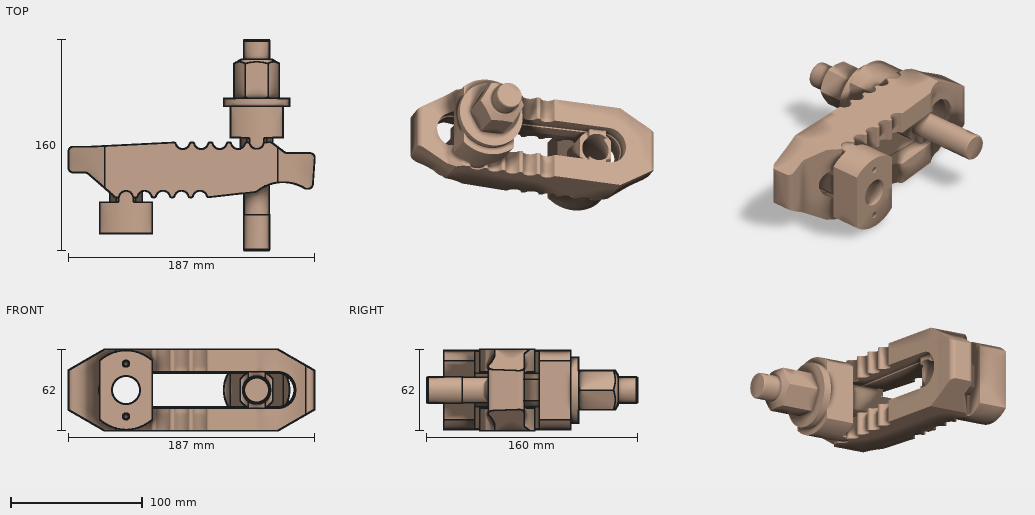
import cadquery as cq
import math

BAR_LENGTH = 187.0
BAR_HEIGHT = 62.0
TOOTH_SPAN = 41.9
CORNER_RADIUS = 4.0

HEEL_BOTTOM = 18.9
HEEL_TOP = 38.7
HEEL_BOTTOM_END = 14.0
HEEL_TOP_END = 17.8
HEEL_SLOPE_END = 35.9

NOSE_TOP = 33.8
NOSE_TOP_START = 164.7
NOSE_LEAN = math.radians(4)
CREST_END = 154.0
ARCH_X = 162.9
ARCH_TOP = 11.6
ARCH_RADIUS = 31.8
ARCH_START = 142.7
ARCH_END = 180.0

TAPER_LENGTH_LEFT = 27.7
TAPER_LENGTH_RIGHT = 28.2
TAPER_ANGLE = math.radians(30)

GROOVE_COUNT = 5
GROOVE_PITCH = 14.0
GROOVE_RADIUS = 5.5
GROOVE_DEPTH = 5.0
LOWER_GROOVE_START = 43.8
UPPER_GROOVE_START = 86.8
TIP_RADIUS = 1.5
GROOVE_HALF_WIDTH = math.sqrt(GROOVE_RADIUS**2 - (GROOVE_RADIUS - GROOVE_DEPTH) ** 2)

SLOT_LEFT = 37.0
SLOT_RIGHT = 158.5
SLOT_WIDTH = 27.7
RAIL_GAP = 25.6
RAIL_THICKNESS = 13.0
MIDDLE_Y = TOOTH_SPAN / 2
RAIL_BOTTOM = MIDDLE_Y - RAIL_THICKNESS / 2

ROCKER_WIDTH = 40.0
ROCKER_DIAMETER = 60.0
ROCKER_THICKNESS = 23.7
RIB_HEIGHT = 8.6
RIB_FILLET = 1.5
BOSS_DIAMETER = 29.5
BOSS_WIDTH = 24.7
BOSS_HEIGHT = 25.5
LUG_WIDTH = 13.0
LUG_HEIGHT = 27.7
LUG_THICKNESS = 5.6
BORE_DIAMETER = 21.1
SCREW_SPACING = 40.0
SCREW_DIAMETER = 4.0
SCREW_MOUTH_DIAMETER = 5.0
SCREW_DEPTH = 10.0
DRILL_POINT_ANGLE = math.radians(59)

STUD_X = UPPER_GROOVE_START + (GROOVE_COUNT - 1) * GROOVE_PITCH
STUD_LENGTH = 160.0
STUD_BOTTOM = -40.2
STUD_DIAMETER = 19.8
SHANK_DIAMETER = 19.5
SHANK_BOTTOM = -13.0
STUD_CHAMFER_LENGTH = 1.1
STUD_CHAMFER_DEPTH = 0.5
WASHER_DIAMETER = 50.1
WASHER_THICKNESS = 6.0
NUT_ACROSS_FLATS = 30.0
NUT_HEIGHT = 30.0
NUT_TOP_DIAMETER = 22.5
NUT_CHAMFER_ANGLE = math.radians(30)
NUT_BASE_DIAMETER = 31.8
NUT_BASE_CHAMFER = 1.0

UPPER_ROCKER_BACK = TOOTH_SPAN - GROOVE_DEPTH + RIB_HEIGHT + ROCKER_THICKNESS
WASHER_TOP = UPPER_ROCKER_BACK + WASHER_THICKNESS
EDGE_REACH = 0.4


def groove_centres(start):
    return [start + i * GROOVE_PITCH for i in range(GROOVE_COUNT)]


def fillet_upright_edges(solid, points, radius):
    """Round the edges parallel to Z that pass through the given (x, y) points."""
    picked = None
    for x, y in points:
        box = cq.selectors.BoxSelector(
            (x - EDGE_REACH, y - EDGE_REACH, -BAR_HEIGHT),
            (x + EDGE_REACH, y + EDGE_REACH, BAR_HEIGHT),
        )
        picked = box if picked is None else picked + box
    return solid.edges("|Z").edges(picked).fillet(radius)


def cylinder_along_y(diameter, bottom, top, x=0.0, z=0.0):
    plane = cq.Plane(origin=(x, bottom, z), xDir=(1, 0, 0), normal=(0, 1, 0))
    return cq.Workplane(plane).circle(diameter / 2).extrude(top - bottom)


def block(width, height, bottom, top):
    return cq.Workplane("XY").box(width, top - bottom, height).translate((0, (bottom + top) / 2, 0))


def revolved(points, x=0.0):
    """Turn an outline of (radius, y) points about a line parallel to Y."""
    profile = cq.Workplane("XY").polyline(points).close()
    return profile.revolve(360, (0, 0, 0), (0, 1, 0)).translate((x, 0, 0))


def arch_y(x):
    return ARCH_TOP - ARCH_RADIUS + math.sqrt(ARCH_RADIUS**2 - (x - ARCH_X) ** 2)


def bar_blank():
    """Bar outline with rounded corners, before grooves, tapers and slot."""
    teeth_end = LOWER_GROOVE_START + (GROOVE_COUNT - 1) * GROOVE_PITCH + GROOVE_HALF_WIDTH
    crest_start = UPPER_GROOVE_START - GROOVE_HALF_WIDTH
    corner_reach = CORNER_RADIUS * (1 + math.sin(NOSE_LEAN)) / math.cos(NOSE_LEAN)
    nose_corner_x = BAR_LENGTH - CORNER_RADIUS + corner_reach
    nose_bottom = arch_y(ARCH_END)
    nose_tip = (nose_corner_x - (NOSE_TOP - nose_bottom) * math.tan(NOSE_LEAN), nose_bottom)
    arch_start = (ARCH_START, arch_y(ARCH_START))

    heel_corners = [(0, HEEL_BOTTOM), (HEEL_BOTTOM_END, HEEL_BOTTOM), (0, HEEL_TOP)]
    nose_corners = [arch_start, nose_tip, (nose_corner_x, NOSE_TOP), (NOSE_TOP_START, NOSE_TOP)]
    crest_corner = (CREST_END, TOOTH_SPAN)

    outline = (
        cq.Workplane("XY")
        .workplane(offset=-BAR_HEIGHT / 2)
        .moveTo(0, HEEL_BOTTOM)
        .lineTo(HEEL_BOTTOM_END, HEEL_BOTTOM)
        .lineTo(HEEL_SLOPE_END, 0)
        .lineTo(teeth_end, 0)
        .lineTo(*arch_start)
        .threePointArc((ARCH_X, ARCH_TOP), (ARCH_END, nose_bottom))
        .lineTo(*nose_tip)
        .lineTo(nose_corner_x, NOSE_TOP)
        .lineTo(NOSE_TOP_START, NOSE_TOP)
        .lineTo(*crest_corner)
        .lineTo(crest_start, TOOTH_SPAN)
        .lineTo(HEEL_TOP_END, HEEL_TOP)
        .lineTo(0, HEEL_TOP)
        .close()
    )
    blank = outline.extrude(BAR_HEIGHT)
    return fillet_upright_edges(blank, heel_corners + nose_corners + [crest_corner], CORNER_RADIUS)


def cut_grooves(bar, start, tip_y, inward):
    """Cut one row of round grooves and round the tooth tips between them."""
    centre_y = tip_y + inward * (GROOVE_DEPTH - GROOVE_RADIUS)
    centres = groove_centres(start)
    cutters = (
        cq.Workplane("XY")
        .workplane(offset=-BAR_HEIGHT / 2)
        .pushPoints([(x, centre_y) for x in centres])
        .circle(GROOVE_RADIUS)
        .extrude(BAR_HEIGHT)
    )
    tips = [(x + side * GROOVE_HALF_WIDTH, tip_y) for x in centres for side in (-1, 1)]
    return fillet_upright_edges(bar.cut(cutters), tips, TIP_RADIUS)


def tapered_envelope():
    """Long octagon in XZ that trims both ends of the bar."""
    half = BAR_HEIGHT / 2
    left_half = half - TAPER_LENGTH_LEFT * math.tan(TAPER_ANGLE)
    right_half = half - TAPER_LENGTH_RIGHT * math.tan(TAPER_ANGLE)
    right_start = BAR_LENGTH - TAPER_LENGTH_RIGHT
    upper = [(0, left_half), (TAPER_LENGTH_LEFT, half), (right_start, half), (BAR_LENGTH, right_half)]
    lower = [(x, -z) for x, z in reversed(upper)]
    return cq.Workplane("XZ").polyline(upper + lower).close().extrude(-TOOTH_SPAN)


def slot_cutter(width, bottom, top):
    plane = cq.Plane(origin=((SLOT_LEFT + SLOT_RIGHT) / 2, bottom, 0), xDir=(1, 0, 0), normal=(0, 1, 0))
    return cq.Workplane(plane).slot2D(SLOT_RIGHT - SLOT_LEFT + width, width).extrude(top - bottom)


def make_clamp_bar():
    bar = bar_blank()
    bar = cut_grooves(bar, LOWER_GROOVE_START, 0, 1)
    bar = cut_grooves(bar, UPPER_GROOVE_START, TOOTH_SPAN, -1)
    bar = bar.intersect(tapered_envelope())
    rail_top = RAIL_BOTTOM + RAIL_THICKNESS
    bar = bar.cut(slot_cutter(SLOT_WIDTH, 0, RAIL_BOTTOM))
    bar = bar.cut(slot_cutter(RAIL_GAP, RAIL_BOTTOM, rail_top))
    return bar.cut(slot_cutter(SLOT_WIDTH, rail_top, TOOTH_SPAN))


def screw_hole(back, z):
    """Blind hole with a countersunk mouth and a drill point, entering from the back face."""
    radius = SCREW_DIAMETER / 2
    mouth = SCREW_MOUTH_DIAMETER / 2
    floor = back + SCREW_DEPTH
    tip = floor + radius / math.tan(DRILL_POINT_ANGLE)
    outline = [(0, back), (mouth, back), (radius, back + mouth - radius), (radius, floor), (0, tip)]
    return revolved(outline).translate((0, 0, z))


def make_rocker():
    """Rocker under the bar, with its rib crest on the Z axis and its boss pointing along +Y."""
    shoulder = -RIB_HEIGHT
    back = shoulder - ROCKER_THICKNESS
    boss_end = RAIL_BOTTOM + RAIL_THICKNESS - GROOVE_DEPTH

    body = block(ROCKER_WIDTH, ROCKER_DIAMETER, back, shoulder)
    rib = block(2 * GROOVE_RADIUS, ROCKER_DIAMETER, shoulder, -GROOVE_RADIUS)
    crest = cq.Workplane("XY").circle(GROOVE_RADIUS).extrude(ROCKER_DIAMETER / 2, both=True)
    rib = rib.union(crest.translate((0, -GROOVE_RADIUS, 0)))
    rocker = body.union(rib)
    rib_feet = [(side * GROOVE_RADIUS, shoulder) for side in (-1, 1)]
    rocker = fillet_upright_edges(rocker, rib_feet, RIB_FILLET)
    rocker = rocker.intersect(cylinder_along_y(ROCKER_DIAMETER, back, 0))

    boss = cylinder_along_y(BOSS_DIAMETER, shoulder, boss_end)
    boss = boss.intersect(block(BOSS_WIDTH, BOSS_HEIGHT, shoulder, boss_end))
    lug_end = boss_end + LUG_THICKNESS
    lug = block(LUG_WIDTH, LUG_HEIGHT, boss_end, lug_end)
    rocker = rocker.union(boss).union(lug)

    rocker = rocker.cut(cylinder_along_y(BORE_DIAMETER, back, lug_end))
    for side in (-1, 1):
        rocker = rocker.cut(screw_hole(back, side * SCREW_SPACING / 2))
    return rocker


def place_rockers():
    """Lower rocker in the first lower groove; upper one turned over into the last upper groove."""
    seats = [
        (LOWER_GROOVE_START, GROOVE_DEPTH, 0),
        (STUD_X, TOOTH_SPAN - GROOVE_DEPTH, 180),
    ]
    placed = []
    for x, y, turn in seats:
        rocker = make_rocker().rotate((0, 0, 0), (0, 0, 1), turn)
        placed.append(rocker.translate((x, y, 0)))
    return placed


def make_stud():
    """Round stud with a slimmer shank between its threaded ends."""
    thread = STUD_DIAMETER / 2
    shank = SHANK_DIAMETER / 2
    end = thread - STUD_CHAMFER_DEPTH
    top = STUD_BOTTOM + STUD_LENGTH
    outline = [
        (0, STUD_BOTTOM),
        (end, STUD_BOTTOM),
        (thread, STUD_BOTTOM + STUD_CHAMFER_LENGTH),
        (thread, SHANK_BOTTOM),
        (shank, SHANK_BOTTOM),
        (shank, WASHER_TOP),
        (thread, WASHER_TOP),
        (thread, top - STUD_CHAMFER_LENGTH),
        (end, top),
        (0, top),
    ]
    return revolved(outline, STUD_X)


def make_washer():
    disc = cylinder_along_y(WASHER_DIAMETER, UPPER_ROCKER_BACK, WASHER_TOP, STUD_X)
    return disc.cut(cylinder_along_y(BORE_DIAMETER, UPPER_ROCKER_BACK, WASHER_TOP, STUD_X))


def make_nut():
    """Hexagon nut with corners along X, a conical top chamfer and a lightly chamfered base."""
    corner_diameter = NUT_ACROSS_FLATS / math.cos(math.pi / 6)
    top = WASHER_TOP + NUT_HEIGHT
    plane = cq.Plane(origin=(STUD_X, WASHER_TOP, 0), xDir=(1, 0, 0), normal=(0, 1, 0))
    nut = cq.Workplane(plane).polygon(6, corner_diameter).extrude(NUT_HEIGHT)

    base = NUT_BASE_DIAMETER / 2
    rim = corner_diameter / 2
    crown = NUT_TOP_DIAMETER / 2
    outline = [
        (0, WASHER_TOP),
        (base, WASHER_TOP),
        (rim, WASHER_TOP + NUT_BASE_CHAMFER),
        (rim, top - (rim - crown) * math.tan(NUT_CHAMFER_ANGLE)),
        (crown, top),
        (0, top),
    ]
    nut = nut.intersect(revolved(outline, STUD_X))
    return nut.cut(cylinder_along_y(STUD_DIAMETER, WASHER_TOP, top, STUD_X))


clamp_bar = make_clamp_bar()
rockers = place_rockers()
stud = make_stud()
washer = make_washer()
nut = make_nut()

result = cq.Compound.makeCompound(
    [clamp_bar.val(), *[rocker.val() for rocker in rockers], stud.val(), washer.val(), nut.val()]
)